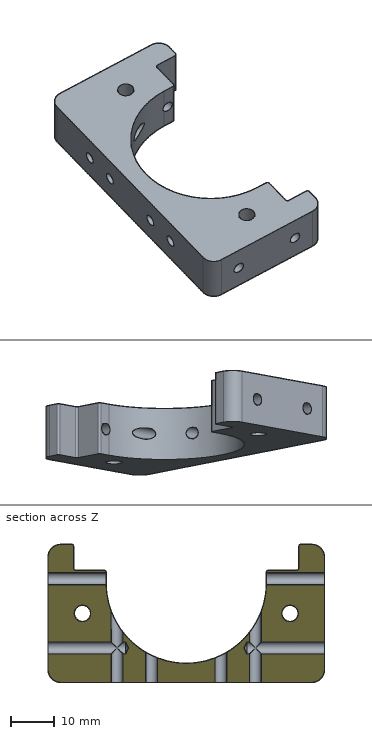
import cadquery as cq
import math

length = 64.0
width = length / 2
thickness = 12.0
corner_radius = 3.0
edge_radius = 0.5

saddle_radius = 18.5
saddle_floor = 4.5
saddle_center_y = -width / 2 + saddle_floor + saddle_radius

step_width = 52.0
step_depth = 6.0
step_y = width / 2 - step_depth

mount_hole_diameter = 3.7
mount_hole_spacing = 48.0
cross_hole_diameter = 2.7
cross_hole_pitch = 8.0
blind_hole_depth = 18.0
drill_tip_angle = 130.0


def make_body():
    """Rounded plate with the stepped saddle cut through its thickness."""
    body = cq.Workplane("XY").box(length, width, thickness).edges("|Z").fillet(corner_radius)
    saddle = (
        cq.Workplane("XY", origin=(0, 0, -thickness / 2))
        .moveTo(-saddle_radius, width)
        .lineTo(-saddle_radius, saddle_center_y)
        .threePointArc((0, saddle_center_y - saddle_radius), (saddle_radius, saddle_center_y))
        .lineTo(saddle_radius, width)
        .close()
        .extrude(thickness)
    )
    step = cq.Workplane("XY").box(step_width, 2 * step_depth, thickness).translate((0, width / 2, 0))
    body = body.cut(saddle).cut(step)

    for side in (-1, 1):
        mouth_corners = (
            (side * step_width / 2, width / 2),
            (side * step_width / 2, step_y),
            (side * saddle_radius, step_y),
        )
        for x, y in mouth_corners:
            edge = cq.selectors.NearestToPointSelector((x, y, 0))
            body = body.edges("|Z").edges(edge).fillet(edge_radius)
    return body


def drill(start, direction, depth):
    """Straight cross hole of the given depth."""
    return cq.Workplane(
        cq.Solid.makeCylinder(cross_hole_diameter / 2, depth, cq.Vector(*start), cq.Vector(*direction))
    )


result = make_body()

result = (
    result.faces(">Z").workplane(origin=(0, 0, 0))
    .pushPoints([(-mount_hole_spacing / 2, 0), (mount_hole_spacing / 2, 0)])
    .hole(mount_hole_diameter)
)

for multiple in (-2, -1, 1, 2):
    result = result.cut(drill((multiple * cross_hole_pitch, -width / 2, 0), (0, 1, 0), width))

result = result.cut(drill((-length / 2, cross_hole_pitch, 0), (1, 0, 0), length))

tip_length = cross_hole_diameter / 2 / math.tan(math.radians(drill_tip_angle / 2))
for side in (-1, 1):
    start = (side * length / 2, -cross_hole_pitch, 0)
    tip_start = (side * (length / 2 - blind_hole_depth), -cross_hole_pitch, 0)
    inward = (-side, 0, 0)
    tip = cq.Solid.makeCone(
        cross_hole_diameter / 2, 0, tip_length, cq.Vector(*tip_start), cq.Vector(*inward)
    )
    result = result.cut(drill(start, inward, blind_hole_depth)).cut(cq.Workplane(tip))